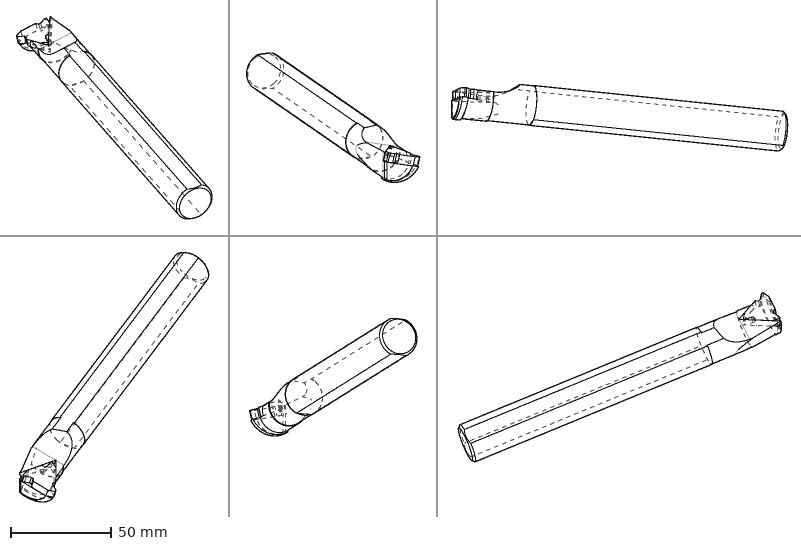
import cadquery as cq
import math

LENGTH = 170.0
SHANK_RADIUS = 10.0
FLAT_HEIGHT = 9.2
END_CHAMFER = 1.2
NECK_RADIUS = 9.9
NECK_END = 40.0
HEAD_RADIUS = 10.2
HEAD_END = 17.7

RAKE_ANGLE = 14.2
RAKE_HEIGHT = 3.7
SCOOP_RADIUS = 19.5
SCOOP_RUNOUT_START = 18.7
MARGIN = 34.0

RELIEF_FRONT_Y = 4.5
RELIEF_EDGE = (0.7, 5.5)
TAPER_START_X = 2.5
TAPER_END_X = 28.0

INSERT_INRADIUS = 6.3
INSERT_CENTRE_Y = -5.3
INSERT_THICKNESS = 4.8
CORNER_ANGLES = (0, 120, 240)
TOOTH_POINTS = [(0, -11.2), (1.7, -14.6), (2.5, -14.6), (4.6, -11.5), (5.6, -11.0), (7.1, -11.9)]

LIP_RADIUS = 13.3
LIP_ROOT_RADIUS = 9.4
LIP_AXIS_Y = -1.45
LIP_AXIS_Z = 1.9
LIP_TIP_START = 0.7
LIP_TIP_END = 3.5
LIP_END = 4.8


def rod(radius, start, end):
    """Round bar along the X axis."""
    return cq.Workplane("YZ").workplane(offset=start).circle(radius).extrude(end - start)


def tilt(body):
    """Carry a body from the XY plane to the rake plane."""
    return body.rotate((0, 0, 0), (1, 0, 0), RAKE_ANGLE).translate((0, 0, RAKE_HEIGHT))


def slab(bottom, top):
    """Wide block between two horizontal planes."""
    return cq.Workplane("XY").box(
        2 * LENGTH, 2 * MARGIN, top - bottom, centered=(True, True, False)
    ).translate((0, 0, bottom))


def turn_about_insert(point, angle):
    """Turn a rake-plane point about the insert centre."""
    dx = point[0] - INSERT_INRADIUS
    dy = point[1] - INSERT_CENTRE_Y
    cosine = math.cos(math.radians(angle))
    sine = math.sin(math.radians(angle))
    return (
        INSERT_INRADIUS + dx * cosine - dy * sine,
        INSERT_CENTRE_Y + dx * sine + dy * cosine,
    )


def make_lip():
    profile = [
        (0, 0),
        (0, LIP_ROOT_RADIUS),
        (LIP_TIP_START, LIP_RADIUS),
        (LIP_TIP_END, LIP_RADIUS),
        (LIP_END, LIP_ROOT_RADIUS),
        (LIP_END, 0),
    ]
    lip = cq.Workplane("XY").polyline(profile).close().revolve(360, (0, 0, 0), (1, 0, 0))
    lip = lip.translate((0, LIP_AXIS_Y, LIP_AXIS_Z))
    below_insert = cq.Workplane("XY").box(
        2 * MARGIN, 2 * MARGIN, MARGIN, centered=(True, True, False)
    ).translate((0, 0, -MARGIN - INSERT_THICKNESS))
    return lip.intersect(tilt(below_insert))


def make_scoop():
    """Space above the rake plane, with a round runout at its rear end."""
    runout_end = SCOOP_RUNOUT_START + SCOOP_RADIUS
    diagonal = SCOOP_RADIUS * math.sqrt(0.5)
    scoop = (
        cq.Workplane("XZ", origin=(0, MARGIN, 0))
        .moveTo(-MARGIN, 0)
        .lineTo(SCOOP_RUNOUT_START, 0)
        .threePointArc(
            (SCOOP_RUNOUT_START + diagonal, SCOOP_RADIUS - diagonal), (runout_end, SCOOP_RADIUS)
        )
        .lineTo(runout_end, MARGIN)
        .lineTo(-MARGIN, MARGIN)
        .close()
        .extrude(2 * MARGIN)
    )
    return tilt(scoop)


def make_back_relief():
    outline = [
        (0, RELIEF_FRONT_Y),
        RELIEF_EDGE,
        (TAPER_START_X, RELIEF_EDGE[1]),
        (TAPER_END_X, SHANK_RADIUS),
        (TAPER_END_X, MARGIN),
        (0, MARGIN),
    ]
    return cq.Workplane("XY").polyline(outline).close().extrude(MARGIN, both=True)


def make_pocket():
    """Triangular insert seat, open at the front and at the active corner."""
    corner = (0, INSERT_CENTRE_Y - INSERT_INRADIUS * math.sqrt(3))
    corners = [turn_about_insert(corner, angle) for angle in CORNER_ANGLES]
    return tilt(cq.Workplane("XY").polyline(corners).close().extrude(-INSERT_THICKNESS))


def make_bar():
    shank = rod(SHANK_RADIUS, NECK_END, LENGTH).faces(">X").chamfer(END_CHAMFER)
    shank = shank.intersect(slab(-FLAT_HEIGHT, FLAT_HEIGHT))
    neck = rod(NECK_RADIUS, HEAD_END, NECK_END).union(rod(HEAD_RADIUS, 0, HEAD_END))
    neck = neck.intersect(slab(-MARGIN, FLAT_HEIGHT)).union(make_lip())
    bar = shank.union(neck)
    return bar.cut(make_scoop()).cut(make_back_relief()).cut(make_pocket())


def make_insert():
    outline = []
    for angle in CORNER_ANGLES:
        outline += [turn_about_insert(point, angle) for point in TOOTH_POINTS]
    return tilt(cq.Workplane("XY").polyline(outline).close().extrude(-INSERT_THICKNESS))


bar = make_bar()
insert = make_insert()
result = cq.Compound.makeCompound([bar.val(), insert.val()])